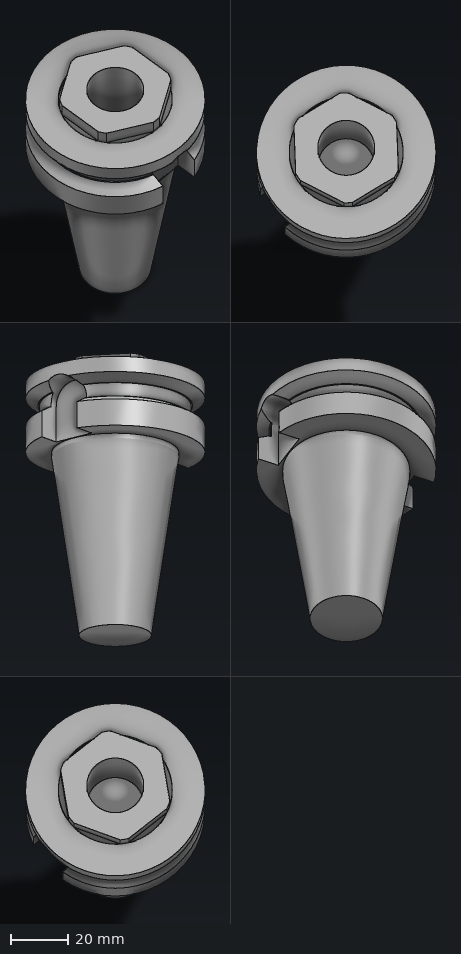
import cadquery as cq
import math

total_height = 97.8
taper_top = 65.4
flange_bottom = 67.3
flange_top = 92.6

taper_small_radius = 12.7
neck_radius = 22.3
flange_radius = 31.5
groove_radius = 26.6
groove_mouth_radius = 27.1

lower_rim_height = 9.7
upper_rim_height = 5.6
groove_chamfer_height = 2.5

hex_across_flats = 36.0
head_radius = 20.0
recess_slope = 45.0
bore_radius = 10.0
bore_depth = 24.45

slot_width = 16.1
slot_top = 88.3
slot_floor = 22.6


def turned_body():
    groove_low = flange_bottom + lower_rim_height
    groove_high = flange_top - upper_rim_height
    return (
        cq.Workplane("XZ")
        .lineTo(taper_small_radius, 0)
        .lineTo(neck_radius, taper_top)
        .lineTo(neck_radius, flange_bottom)
        .lineTo(flange_radius, flange_bottom)
        .lineTo(flange_radius, groove_low)
        .lineTo(groove_mouth_radius, groove_low + groove_chamfer_height)
        .lineTo(groove_radius, groove_low + groove_chamfer_height)
        .lineTo(groove_radius, groove_high - groove_chamfer_height)
        .lineTo(groove_mouth_radius, groove_high - groove_chamfer_height)
        .lineTo(flange_radius, groove_high)
        .lineTo(flange_radius, flange_top)
        .lineTo(0, flange_top)
        .close()
        .revolve(360, (0, 0), (0, 1))
    )


def hex_head():
    height = total_height - flange_top
    across_corners = hex_across_flats / math.cos(math.pi / 6)
    head = cq.Workplane("XY", origin=(0, 0, flange_top))
    rounding = head.circle(head_radius).extrude(height)
    return head.polygon(6, across_corners).extrude(height).intersect(rounding)


def recess_segments():
    """Crescents beside the hexagon whose floors slope down from each flat."""
    flat = hex_across_flats / 2
    width = head_radius - flat
    depth = width * math.tan(math.radians(recess_slope))
    wedge = (
        cq.Workplane("YZ")
        .moveTo(flat, flange_top)
        .lineTo(head_radius, flange_top)
        .lineTo(head_radius, flange_top - depth)
        .close()
        .extrude(head_radius, both=True)
    )
    round_limit = cq.Workplane("XY").circle(head_radius).extrude(total_height)
    segment = wedge.intersect(round_limit)
    return [segment.rotate((0, 0, 0), (0, 0, 1), 60 * side) for side in range(6)]


def drive_slot(direction):
    """Round-topped slot open at the bottom and outer side of the flange."""
    arc_height = slot_top - slot_width / 2
    return (
        cq.Workplane("YZ", origin=(direction * slot_floor, 0, 0))
        .moveTo(-slot_width / 2, flange_bottom)
        .lineTo(-slot_width / 2, arc_height)
        .threePointArc((0, slot_top), (slot_width / 2, arc_height))
        .lineTo(slot_width / 2, flange_bottom)
        .close()
        .extrude(direction * flange_radius)
    )


result = turned_body().union(hex_head())
for segment in recess_segments():
    result = result.cut(segment)
for direction in (-1, 1):
    result = result.cut(drive_slot(direction))
bore = cq.Workplane("XY", origin=(0, 0, total_height)).circle(bore_radius).extrude(-bore_depth)
result = result.cut(bore)